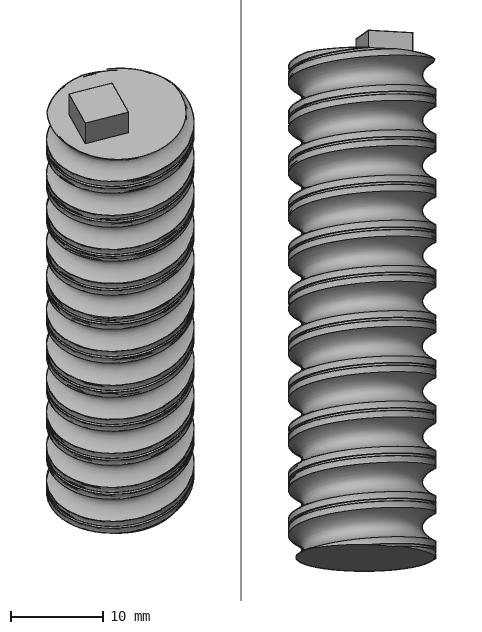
import cadquery as cq
import math


overall_length = 58.0
outer_radius = 8.0
turns = 11
tang_side = 5.0
tang_height = 3.0
groove_depth = 1.45
groove_half_width = 1.6
crest_slot_half_width = 0.145
crest_slot_depth = 0.3
groove_points = 16

rod_length = overall_length - tang_height
pitch = rod_length / turns
slot_floor_radius = outer_radius - crest_slot_depth


def axial_to_angle(axial_distance):
    """Angle around the rod in which the helix climbs the given axial distance."""
    return 2 * math.pi * axial_distance / pitch


def polar(radius, angle):
    return (radius * math.cos(angle), radius * math.sin(angle))


def groove_curve():
    """Points across the groove, whose depth falls off as a parabola from its middle at angle 0."""
    points = []
    for i in range(groove_points + 1):
        fraction = 2 * i / groove_points - 1
        depth = groove_depth * (1 - fraction**2)
        points.append(polar(outer_radius - depth, axial_to_angle(fraction * groove_half_width)))
    return points


def arc_on(outline, radius, start, end):
    """Continue the outline along a circle about the rod axis."""
    return outline.threePointArc(polar(radius, (start + end) / 2), polar(radius, end))


def make_screw():
    groove_edge = axial_to_angle(groove_half_width)
    slot_start = math.pi - axial_to_angle(crest_slot_half_width)
    slot_end = math.pi + axial_to_angle(crest_slot_half_width)

    outline = cq.Workplane("XY").spline(groove_curve())
    outline = arc_on(outline, outer_radius, groove_edge, slot_start)
    outline = outline.lineTo(*polar(slot_floor_radius, slot_start))
    outline = arc_on(outline, slot_floor_radius, slot_start, slot_end)
    outline = outline.lineTo(*polar(outer_radius, slot_end))
    outline = arc_on(outline, outer_radius, slot_end, 2 * math.pi - groove_edge)
    return outline.close().twistExtrude(rod_length, 360 * turns)


def make_tang():
    """Square tang on the top face, with its back face on the rod's axis plane."""
    return (
        cq.Workplane("XY")
        .workplane(offset=rod_length)
        .center(0, -tang_side / 2)
        .rect(tang_side, tang_side)
        .extrude(tang_height)
    )


result = make_screw().union(make_tang()).solids()